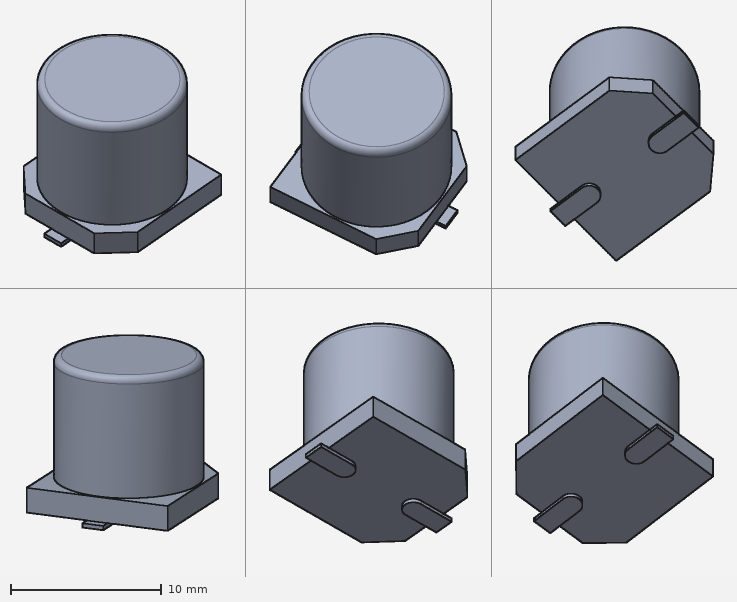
import cadquery as cq

base_side = 10.3
base_height = 1.73
corner_cut = 2.05

can_diameter = 10.0
rim_radius = 0.5
total_height = 10.5

lead_span = 11.7
lead_width = 1.52
lead_length = 3.51
lead_thickness = 0.3

base_top = lead_thickness + base_height


def make_base():
    plate = cq.Workplane("XY", origin=(0, 0, lead_thickness)).rect(base_side, base_side).extrude(base_height)
    return plate.edges("|Z and <Y").chamfer(corner_cut)


def make_can():
    can = cq.Workplane("XY", origin=(0, 0, base_top)).circle(can_diameter / 2).extrude(total_height - base_top)
    return can.faces(">Z").edges().fillet(rim_radius)


def make_lead(side):
    """Lead on the +Y (side = 1) or -Y (side = -1) edge of the base."""
    half_width = lead_width / 2
    outer_y = side * lead_span / 2
    tip_y = side * (lead_span / 2 - lead_length)
    round_start_y = tip_y + side * half_width
    return (
        cq.Workplane("XY")
        .moveTo(-half_width, outer_y)
        .lineTo(-half_width, round_start_y)
        .threePointArc((0, tip_y), (half_width, round_start_y))
        .lineTo(half_width, outer_y)
        .close()
        .extrude(lead_thickness)
    )


result = make_base().union(make_can())
for side in (1, -1):
    result = result.union(make_lead(side))